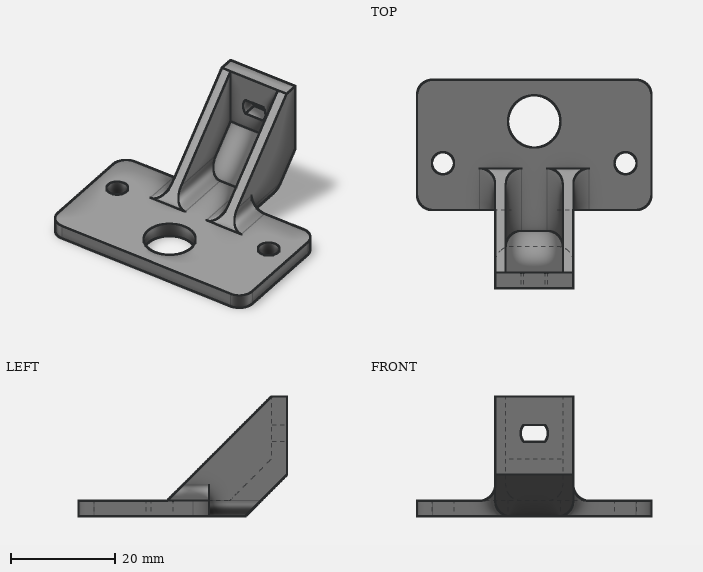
import cadquery as cq

plate_length = 45.0
plate_width = 25.0
thickness = 3.0
corner_radius = 3.0

plate_front = 15.0
arm_width = 15.0
arm_height = 23.0
side_wall = 2.02
underside_chamfer = 8.0
blend_radius = 3.0

main_hole_diameter = 10.0
main_hole_setback = 17.0
screw_hole_diameter = 4.2
screw_hole_spacing = 35.0
screw_hole_setback = 9.0

slot_diameter = 5.18
slot_height = 3.2
slot_center_z = 15.95

channel_width = arm_width - 2 * side_wall
slope_end = arm_height


def side_prism(points, width):
    """Extrude a (Y, Z) outline symmetrically about X = 0."""
    return cq.Workplane("YZ").polyline(points).close().extrude(width / 2, both=True)


def make_plate():
    plate = (
        cq.Workplane("XY")
        .box(plate_length, plate_width, thickness, centered=(True, False, False))
        .edges("|Z")
        .fillet(corner_radius)
    )
    return plate.translate((0, plate_front, 0))


def make_arm():
    outline = [
        (0, underside_chamfer),
        (underside_chamfer, 0),
        (slope_end, 0),
        (slope_end, thickness),
        (thickness, arm_height),
        (0, arm_height),
    ]
    rounded_bar = (
        cq.Workplane("XY")
        .box(arm_width, slope_end, arm_height, centered=(True, False, False))
        .edges("|Y and <Z")
        .fillet(blend_radius)
    )
    return side_prism(outline, arm_width).intersect(rounded_bar)


def make_outer_blend(side):
    """Concave blend between one arm side and the plate top, trimmed by the arm's slope."""
    wall = side * arm_width / 2
    toe = wall + side * blend_radius
    length = slope_end - plate_front
    block = cq.Workplane("XY").box(blend_radius, length, blend_radius, centered=(True, False, False))
    block = block.translate(((wall + toe) / 2, plate_front, thickness))
    cylinder = (
        cq.Workplane("XZ", origin=(toe, plate_front, thickness + blend_radius))
        .circle(blend_radius)
        .extrude(-length)
    )
    below_slope = side_prism(
        [(plate_front, thickness), (slope_end, thickness), (plate_front, thickness + length)],
        plate_length,
    )
    return block.cut(cylinder).intersect(below_slope)


def make_channel():
    """Open channel with rounded floor corners and a sloped front end."""
    outline = [
        (thickness, thickness + underside_chamfer),
        (thickness + underside_chamfer, thickness),
        (slope_end, thickness),
        (slope_end, arm_height),
        (thickness, arm_height),
    ]
    rounded_bar = (
        cq.Workplane("XY")
        .box(channel_width, slope_end, arm_height, centered=(True, False, False))
        .edges("|Y and <Z")
        .fillet(blend_radius)
        .translate((0, 0, thickness))
    )
    return side_prism(outline, channel_width).intersect(rounded_bar)


def make_holes():
    main_hole = (
        cq.Workplane("XY")
        .center(0, plate_front + main_hole_setback)
        .circle(main_hole_diameter / 2)
        .extrude(thickness)
    )
    screw_holes = (
        cq.Workplane("XY")
        .center(0, plate_front + screw_hole_setback)
        .pushPoints([(side * screw_hole_spacing / 2, 0) for side in (-1, 1)])
        .circle(screw_hole_diameter / 2)
        .extrude(thickness)
    )
    return main_hole.union(screw_holes)


def make_slot():
    disc = cq.Workplane("XZ").circle(slot_diameter / 2).extrude(-thickness)
    flats = cq.Workplane("XY").box(slot_diameter, thickness, slot_height, centered=(True, False, True))
    return disc.intersect(flats).translate((0, 0, slot_center_z))


body = make_plate().union(make_arm())
for blend_side in (-1, 1):
    body = body.union(make_outer_blend(blend_side))

result = body.cut(make_channel()).cut(make_holes()).cut(make_slot())